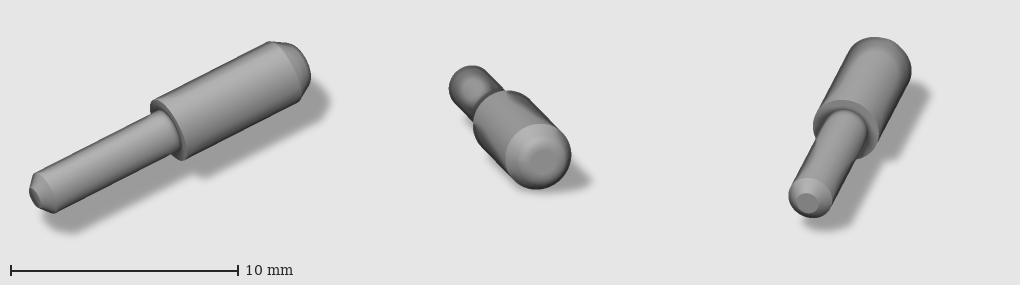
import cadquery as cq
import math

total_length = 14.0
half_length = total_length / 2

body_diameter = 3.0
taper_length = 1.0
taper_angle = 30.0
nose_radius = 0.6

pin_diameter = body_diameter * 2 / 3
tip_chamfer = pin_diameter / 4


def make_body():
    """Cylinder behind the shoulder, tapering to a rounded flat end."""
    body_radius = body_diameter / 2
    end_radius = body_radius - taper_length * math.tan(math.radians(taper_angle))
    profile = (
        cq.Workplane("XY")
        .moveTo(0, 0)
        .lineTo(body_radius, 0)
        .lineTo(body_radius, half_length - taper_length)
        .lineTo(end_radius, half_length)
        .lineTo(0, half_length)
        .close()
    )
    tapered = profile.revolve(360, (0, 0, 0), (0, 1, 0))
    return tapered.faces(">Y").edges().fillet(nose_radius)


def make_pin():
    """Cylinder in front of the shoulder, chamfered at its free end."""
    rod = cq.Workplane("XZ").circle(pin_diameter / 2).extrude(half_length)
    return rod.faces("<Y").edges().chamfer(tip_chamfer)


body = make_body()
pin = make_pin()

result = cq.Compound.makeCompound([body.solids().val(), pin.solids().val()])